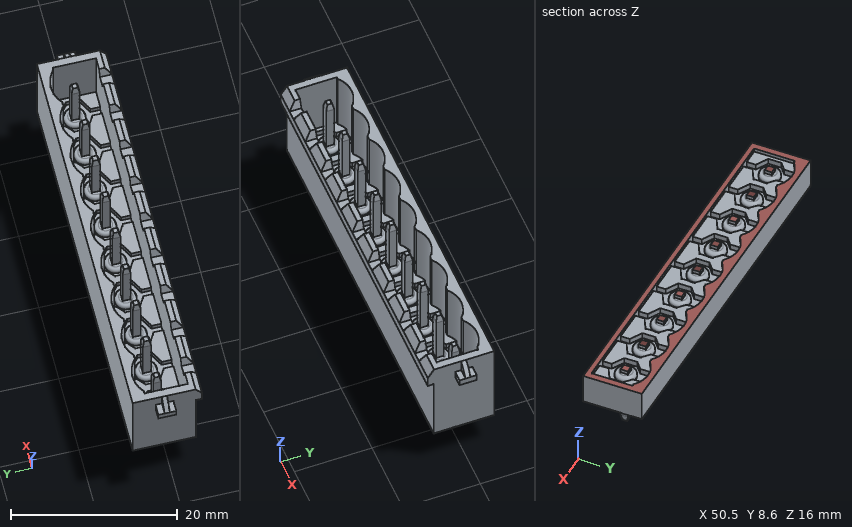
import cadquery as cq

PIN_COUNT = 9
PIN_ROW_LENGTH = 40.6
PITCH = PIN_ROW_LENGTH / (PIN_COUNT - 1)
PIN_XS = [i * PITCH - PIN_ROW_LENGTH / 2 for i in range(PIN_COUNT)]

OVERALL_LENGTH = 50.5
TAB_REACH = 1.4
BODY_LENGTH = OVERALL_LENGTH - 2 * TAB_REACH
BODY_HEIGHT = 11.95
BACK_Y = 3.8
OVERALL_DEPTH = 8.6
LIP_FRONT_Y = BACK_Y - OVERALL_DEPTH
LIP_REACH = 0.75
BODY_FRONT_Y = LIP_FRONT_Y + LIP_REACH
LIP_DROP = 2.75
LIP_BEVEL_DROP = 1.25
LIP_BEVEL_REACH = 0.8

END_WALL = 0.95
BACK_WALL = 0.85
FRONT_WALL = 1.5
CAVITY_FRONT_Y = LIP_FRONT_Y + FRONT_WALL
CAVITY_BACK_Y = BACK_Y - BACK_WALL
CAVITY_HALF_LENGTH = BODY_LENGTH / 2 - END_WALL
FLOOR_Z = 3.55
SCALLOP_HALF_WIDTH = 2.25
SCALLOP_RISE = 0.85

RECESS_DEPTH = 0.75
RECESS_HALF_WIDTH = 2.05
RECESS_SIDE_BACK_Y = 0.55
RECESS_SIDE_FRONT_Y = -1.15
BACK_NECK_HALF_WIDTH = 1.05
BACK_NECK_Y = 1.4
FRONT_NECK_HALF_WIDTH = 0.45
FRONT_NECK_Y = -2.05

COLLAR_DIAMETER = 2.75
COLLAR_ROUNDING = 0.5

NOTCH_TOP_WIDTH = 2.1
NOTCH_FLOOR_WIDTH = 1.25

TAB_WIDTH = 2.2
TAB_CENTER_Y = -0.15
TAB_TOP_DROP = 1.65
TAB_BOTTOM_DROP = 2.6
RIB_WIDTH = 0.65

PIN_WIDTH = 1.0
PIN_TIP_WIDTH = 0.6
PIN_TAPER = 0.9
PIN_BOTTOM_Z = -4.05
PIN_TOP_DROP = 0.9
PIN_TOP_Z = BODY_HEIGHT - PIN_TOP_DROP


def make_block():
    """Housing block with the bevelled lip along the top of its front face."""
    lip_bottom_z = BODY_HEIGHT - LIP_DROP
    return (
        cq.Workplane("YZ")
        .moveTo(BACK_Y, 0)
        .lineTo(BODY_FRONT_Y, 0)
        .lineTo(BODY_FRONT_Y, lip_bottom_z)
        .lineTo(LIP_FRONT_Y, lip_bottom_z)
        .lineTo(LIP_FRONT_Y, BODY_HEIGHT - LIP_BEVEL_DROP)
        .lineTo(LIP_FRONT_Y + LIP_BEVEL_REACH, BODY_HEIGHT)
        .lineTo(BACK_Y, BODY_HEIGHT)
        .close()
        .extrude(BODY_LENGTH / 2, both=True)
    )


def make_cavity():
    """Cavity volume: straight front and ends, one shallow arc per pin along the back."""
    cusp_y = CAVITY_BACK_Y - SCALLOP_RISE
    outline = (
        cq.Workplane("XY", origin=(0, 0, FLOOR_Z))
        .moveTo(CAVITY_HALF_LENGTH, CAVITY_FRONT_Y)
        .lineTo(-CAVITY_HALF_LENGTH, CAVITY_FRONT_Y)
        .lineTo(-CAVITY_HALF_LENGTH, cusp_y)
    )
    for x in PIN_XS:
        outline = outline.lineTo(x - SCALLOP_HALF_WIDTH, cusp_y).threePointArc(
            (x, CAVITY_BACK_Y), (x + SCALLOP_HALF_WIDTH, cusp_y)
        )
    return outline.lineTo(CAVITY_HALF_LENGTH, cusp_y).close().extrude(BODY_HEIGHT - FLOOR_Z)


def make_recess(x):
    """Keyhole volume below the cavity floor, its two necks ending at the cavity walls."""
    right_side = [
        (BACK_NECK_HALF_WIDTH, CAVITY_BACK_Y),
        (BACK_NECK_HALF_WIDTH, BACK_NECK_Y),
        (RECESS_HALF_WIDTH, RECESS_SIDE_BACK_Y),
        (RECESS_HALF_WIDTH, RECESS_SIDE_FRONT_Y),
        (FRONT_NECK_HALF_WIDTH, FRONT_NECK_Y),
        (FRONT_NECK_HALF_WIDTH, CAVITY_FRONT_Y),
    ]
    left_side = [(-px, py) for px, py in reversed(right_side)]
    keyhole = (
        cq.Workplane("XY", origin=(0, 0, FLOOR_Z - RECESS_DEPTH))
        .polyline([(x + px, py) for px, py in right_side + left_side])
        .close()
        .extrude(RECESS_DEPTH)
    )
    return keyhole.intersect(make_cavity().translate((0, 0, -RECESS_DEPTH)))


def make_collar(x):
    """Collar rising from the recess to the level of the cavity floor, rounded on top."""
    return (
        cq.Workplane("XY", origin=(x, 0, FLOOR_Z - RECESS_DEPTH))
        .circle(COLLAR_DIAMETER / 2)
        .extrude(RECESS_DEPTH)
        .faces(">Z")
        .edges()
        .fillet(COLLAR_ROUNDING)
    )


def make_notch(x):
    """Tapered notch through the front wall, down to the lower edge of the lip bevel."""
    floor_z = BODY_HEIGHT - LIP_BEVEL_DROP
    return (
        cq.Workplane("XZ", origin=(x, CAVITY_FRONT_Y, 0))
        .moveTo(-NOTCH_FLOOR_WIDTH / 2, floor_z)
        .lineTo(NOTCH_FLOOR_WIDTH / 2, floor_z)
        .lineTo(NOTCH_TOP_WIDTH / 2, BODY_HEIGHT)
        .lineTo(-NOTCH_TOP_WIDTH / 2, BODY_HEIGHT)
        .close()
        .extrude(FRONT_WALL)
    )


def make_tab(side):
    """Latch tab with its triangular rib; side is -1 for the -X end, +1 for the +X end."""
    wall_x = side * BODY_LENGTH / 2
    tip_x = side * OVERALL_LENGTH / 2
    tab_top_z = BODY_HEIGHT - TAB_TOP_DROP
    tab_bottom_z = BODY_HEIGHT - TAB_BOTTOM_DROP
    section = cq.Workplane("XZ", origin=(0, TAB_CENTER_Y, 0))
    plate = (
        section.polyline(
            [(wall_x, tab_bottom_z), (tip_x, tab_bottom_z), (tip_x, tab_top_z), (wall_x, tab_top_z)]
        )
        .close()
        .extrude(TAB_WIDTH / 2, both=True)
    )
    rib = (
        section.polyline([(wall_x, tab_top_z), (tip_x, tab_top_z), (wall_x, BODY_HEIGHT)])
        .close()
        .extrude(RIB_WIDTH / 2, both=True)
    )
    return plate.union(rib)


def make_pin(x):
    """Straight square pin with a taper at both ends."""
    shank_bottom_z = PIN_BOTTOM_Z + PIN_TAPER
    shank_top_z = PIN_TOP_Z - PIN_TAPER
    pin = (
        cq.Workplane("XY", origin=(x, 0, shank_bottom_z))
        .rect(PIN_WIDTH, PIN_WIDTH)
        .extrude(shank_top_z - shank_bottom_z)
    )
    for shank_end_z, tip_z in [(shank_top_z, PIN_TOP_Z), (shank_bottom_z, PIN_BOTTOM_Z)]:
        taper = (
            cq.Workplane("XY", origin=(x, 0, shank_end_z))
            .rect(PIN_WIDTH, PIN_WIDTH)
            .workplane(offset=tip_z - shank_end_z)
            .rect(PIN_TIP_WIDTH, PIN_TIP_WIDTH)
            .loft(ruled=True)
        )
        pin = pin.union(taper)
    return pin


def make_housing(pins):
    """Housing with a matching through-hole for every pin."""
    housing = make_block().cut(make_cavity())
    for x in PIN_XS:
        housing = housing.cut(make_recess(x)).union(make_collar(x)).cut(make_notch(x))
    for side in (-1, 1):
        housing = housing.union(make_tab(side))
    for pin in pins:
        housing = housing.cut(pin)
    return housing


pins = [make_pin(x) for x in PIN_XS]
housing = make_housing(pins)

result = cq.Compound.makeCompound([housing.val(), *[pin.val() for pin in pins]])